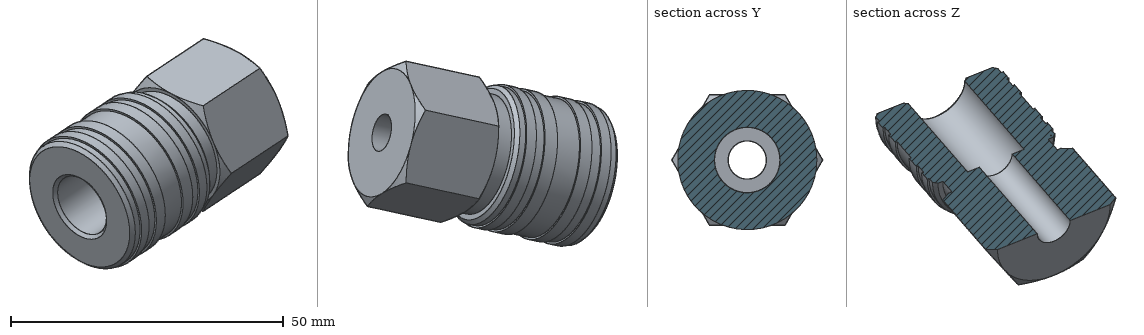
import cadquery as cq
import math

total_length = 43.0
sleeve_length = 22.0
neck_end = 25.2

sleeve_radius = 13.05
ring_radius = 13.4
neck_radius = 11.25
sleeve_chamfer = 0.75

hex_corner_diameter = 27.7
hex_corner_radius = hex_corner_diameter / 2
hex_flat_radius = hex_corner_radius * math.cos(math.radians(30))
hex_chamfer_angle = 30.0

grip_rings = [(2.0, 4.1), (6.1, 8.55), (13.45, 16.12), (17.97, 20.05)]

bore_radius = 5.98
bore_chamfer = 0.65
bore_depth = sleeve_length
passage_radius = 3.5


def cylinder(radius, start, end):
    """Solid cylinder on the Y axis between two Y positions."""
    base = cq.Workplane("XZ", origin=(0, start, 0))
    return base.circle(radius).extrude(start - end)


def make_sleeve():
    sleeve = cylinder(sleeve_radius, 0, sleeve_length)
    sleeve = sleeve.faces("<Y or >Y").edges().chamfer(sleeve_chamfer)
    for start, end in grip_rings:
        sleeve = sleeve.union(cylinder(ring_radius, start, end))
    return sleeve


def make_hex():
    """Hexagonal prism whose corners are trimmed by a cone at both ends."""
    prism = (
        cq.Workplane("XZ", origin=(0, neck_end, 0))
        .polygon(6, hex_corner_diameter)
        .extrude(neck_end - total_length)
    )
    chamfer_radial = hex_corner_radius - hex_flat_radius
    chamfer_axial = chamfer_radial * math.tan(math.radians(hex_chamfer_angle))
    envelope = (
        cq.Workplane("XY")
        .moveTo(0, neck_end)
        .lineTo(hex_flat_radius, neck_end)
        .lineTo(hex_corner_radius, neck_end + chamfer_axial)
        .lineTo(hex_corner_radius, total_length - chamfer_axial)
        .lineTo(hex_flat_radius, total_length)
        .lineTo(0, total_length)
        .close()
        .revolve(360, (0, 0, 0), (0, 1, 0))
    )
    return prism.intersect(envelope)


def make_bore():
    """Stepped bore with a chamfered mouth, as a cutting body."""
    return (
        cq.Workplane("XY")
        .lineTo(bore_radius + bore_chamfer, 0)
        .lineTo(bore_radius, bore_chamfer)
        .lineTo(bore_radius, bore_depth)
        .lineTo(passage_radius, bore_depth)
        .lineTo(passage_radius, total_length)
        .lineTo(0, total_length)
        .close()
        .revolve(360, (0, 0, 0), (0, 1, 0))
    )


neck = cylinder(neck_radius, sleeve_length, neck_end)
result = make_sleeve().union(neck).union(make_hex()).cut(make_bore())